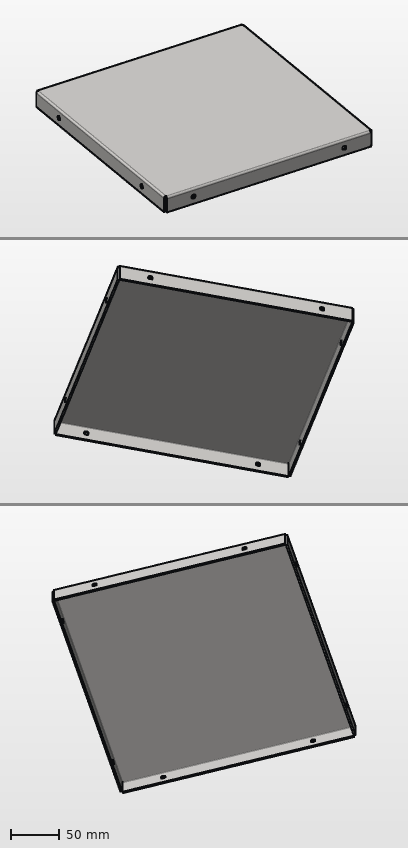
import cadquery as cq

side = 254.0
height = 19.0
sheet_thickness = 2.0
bend_radius = 2.3
flange_length = side - 2 * bend_radius

hole_diameter = 4.8
hole_height = 9.0
front_hole_spacing = 161.8
side_hole_spacing = 184.5


def rounded_block(width, block_height, fold_radius):
    """Block standing on Z = 0 with its two long top edges rounded."""
    return (
        cq.Workplane("XY")
        .box(width, flange_length, block_height, centered=(True, True, False))
        .edges(">Z and |Y")
        .fillet(fold_radius)
    )


def folded_channel():
    """Flat panel with two opposite flanges folded down along its X sides."""
    outside = rounded_block(side, height, bend_radius)
    inside = rounded_block(
        side - 2 * sheet_thickness,
        height - sheet_thickness,
        bend_radius - sheet_thickness,
    )
    return outside.cut(inside)


def hole_pair(plane, spacing):
    """Two drills, each running through both opposite flanges."""
    return (
        cq.Workplane(plane)
        .pushPoints([(-spacing / 2, hole_height), (spacing / 2, hole_height)])
        .circle(hole_diameter / 2)
        .extrude(side, both=True)
    )


channel = folded_channel()
crossing_channel = channel.rotate((0, 0, 0), (0, 0, 1), 90)
tray = channel.union(crossing_channel)

tray = tray.cut(hole_pair("XZ", front_hole_spacing))
tray = tray.cut(hole_pair("YZ", side_hole_spacing))

result = tray